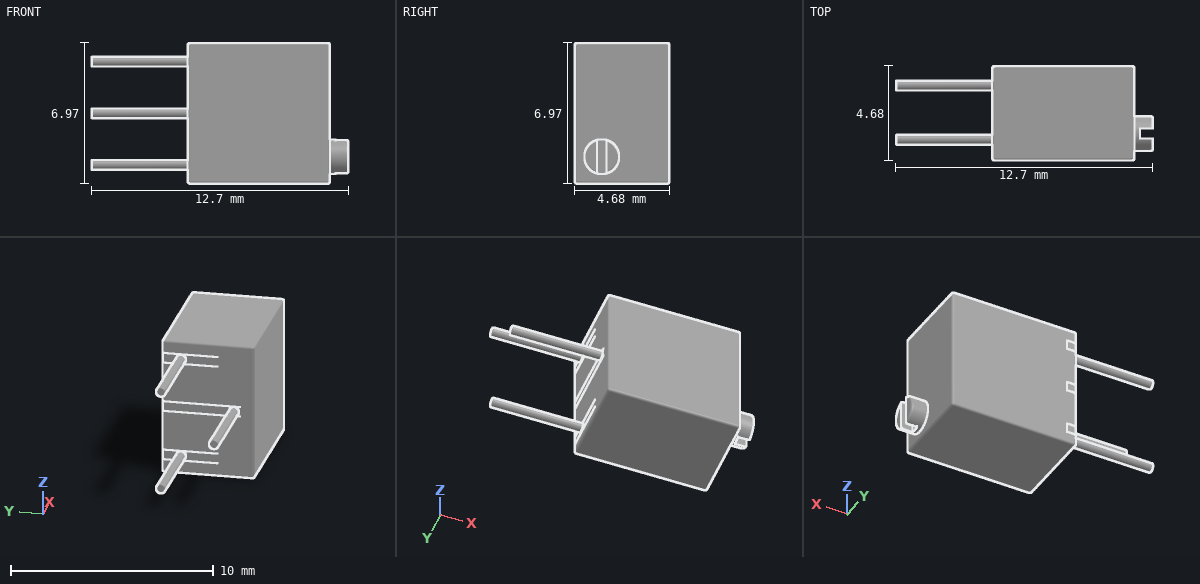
import cadquery as cq

housing_length = 7.03
housing_depth = 4.68
housing_height = 6.97
housing_edge_radius = 0.13

overall_length = 12.69
pin_reach = 4.75
screw_reach = overall_length - pin_reach - housing_length
screw_diameter = 1.73
screw_edge_radius = 0.11
screw_slot_width = 0.48
screw_slot_depth = 0.63
screw_y = -1.0
screw_z = -2.15

pin_diameter = 0.5
pin_radius = pin_diameter / 2
pin_tip_radius = 0.05
pin_pitch = 2.55
outer_pin_y = 1.37
middle_pin_y = -1.31
bar_thickness = 0.51
bar_width = 0.51
bar_cover = 0.04
bar_edge_radius = 0.09
bar_start_y = housing_depth / 2 - bar_cover
outer_bar_end_y = -0.51
middle_bar_end_y = -1.65

lead_places = [
    (pin_pitch, outer_pin_y, outer_bar_end_y),
    (0.0, middle_pin_y, middle_bar_end_y),
    (-pin_pitch, outer_pin_y, outer_bar_end_y),
]


def make_lead(z, pin_y, bar_end_y):
    """Pin along -X joined to a bar along Y with rounded outer ends."""
    bar_length = bar_start_y - bar_end_y
    bar = (
        cq.Workplane("XY")
        .box(bar_width, bar_length, bar_thickness, centered=(False, False, True))
        .edges("<X and |Z")
        .fillet(bar_edge_radius)
        .translate((bar_cover, bar_end_y, z))
    )
    pin = (
        cq.Workplane("YZ")
        .circle(pin_radius)
        .extrude(pin_reach + bar_cover + bar_width / 2)
        .faces("<X")
        .edges()
        .fillet(pin_tip_radius)
        .translate((-pin_reach, pin_y, z))
    )
    return bar.union(pin)


def make_screw():
    """Round head with a rounded rim and a slot along Z."""
    head = (
        cq.Workplane("YZ")
        .circle(screw_diameter / 2)
        .extrude(screw_reach)
        .faces(">X")
        .edges()
        .fillet(screw_edge_radius)
    )
    slot = cq.Workplane("XY").box(
        screw_slot_depth, screw_slot_width, screw_diameter, centered=(False, True, True)
    )
    head = head.cut(slot.translate((screw_reach - screw_slot_depth, 0, 0)))
    return head.translate((housing_length, screw_y, screw_z))


def make_housing(leads):
    """Rounded box with a pocket matching every lead."""
    block = (
        cq.Workplane("XY")
        .box(housing_length, housing_depth, housing_height, centered=(False, True, True))
        .edges()
        .fillet(housing_edge_radius)
    )
    for lead in leads:
        block = block.cut(lead)
    return block


leads = [make_lead(*place) for place in lead_places]
housing = make_housing(leads)
screw = make_screw()

result = cq.Compound.makeCompound([housing.val(), screw.val(), *[lead.val() for lead in leads]])